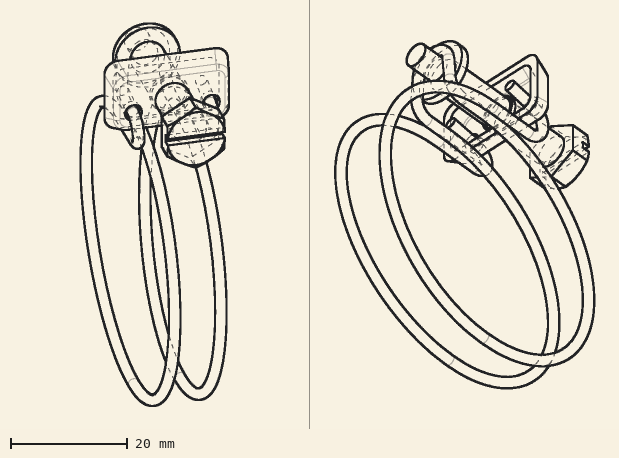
import cadquery as cq
import math


overall_height = 67.35

wire_dia = 2.0
wire_radius = wire_dia / 2
ring_outer_dia = 53.95
ring_radius = ring_outer_dia / 2 - wire_radius
loop_y = 4.1
strand_gap = 0.2
hook_y = loop_y + wire_dia + strand_gap
loop_tilt = math.radians(4.3)
elbow_radius = 2.95
hook_bend_radius = 3.0
hook_bend_x = 8.8
hook_tilt = math.radians(5.2)
hook_turn = math.radians(170)
hook_end_x = 3.2

bridge_x = 5.85
bridge_depth = 4.05
bridge_width = 22.0
bridge_height = 13.05
bridge_corner = 2.35
bridge_width_taper = math.radians(12)
bridge_height_taper = math.radians(20.5)
bridge_edge_fillet = 1.0
cavity_depth = 2.55
cavity_width = 18.85
cavity_height = 9.7
cavity_corner = 1.95
cavity_width_taper = math.radians(15)
cavity_height_taper = math.radians(19)
cavity_fillet = 0.4
boss_dia = 6.9
boss_height = 0.9
wire_hole_dia = 2.95
wire_hole_y = 6.95
wire_hole_drop = 1.75

axis_z = overall_height - ring_outer_dia / 2 - bridge_height / 2
shank_dia = 6.05
tip_dia = 4.45
washer_dia = 11.5
washer_thickness = 1.55
washer_x = -7.4
tip_end_x = -12.8
head_x = 21.0
head_height = 4.05
head_corner_radius = 5.85
head_chamfer_radius = 5.1
head_chamfer_angle = math.radians(30)
slot_width = 1.2
slot_depth = 1.55


def x_cylinder(diameter, start_x, end_x, y=0, z=axis_z):
    """Cylinder along X from start_x to end_x."""
    return cq.Workplane("YZ", origin=(start_x, y, z)).circle(diameter / 2).extrude(end_x - start_x)



def wire_path():
    loop_x = washer_x - wire_radius
    loop_top_z = axis_z + tip_dia / 2 + wire_radius
    loop_radius = (loop_y - (loop_top_z - ring_radius) * math.tan(loop_tilt)) / (
        1 / math.cos(loop_tilt) - math.tan(loop_tilt)
    )
    loop_end_y = loop_radius * math.cos(loop_tilt)
    loop_end_z = loop_top_z - loop_radius * (1 - math.sin(loop_tilt))

    def elbow_point(turn):
        along = elbow_radius * (1 - math.cos(turn))
        return (
            loop_x + elbow_radius * (1 - math.sin(turn)),
            loop_y - along * math.sin(loop_tilt),
            ring_radius + along * math.cos(loop_tilt),
        )

    def hook_point(turn, straight=0.0):
        along = hook_bend_radius * (1 - math.cos(turn)) + straight * math.sin(turn)
        return (
            hook_bend_x + hook_bend_radius * math.sin(turn) + straight * math.cos(turn),
            hook_y + along * math.sin(hook_tilt),
            ring_radius + along * math.cos(hook_tilt),
        )

    tail_length = (hook_end_x - hook_point(hook_turn)[0]) / math.cos(hook_turn)

    side = [
        [hook_point(hook_turn, tail_length), hook_point(hook_turn)],
        [hook_point(hook_turn), hook_point(hook_turn / 2), hook_point(0)],
        [hook_point(0), (0, hook_y, ring_radius)],
        [(0, hook_y, ring_radius), (-ring_radius, (hook_y + loop_y) / 2, 0), (0, loop_y, -ring_radius)],
        [(0, loop_y, -ring_radius), (ring_radius, loop_y, 0), (0, loop_y, ring_radius)],
        [(0, loop_y, ring_radius), elbow_point(0)],
        [elbow_point(0), elbow_point(math.pi / 4), elbow_point(math.pi / 2)],
        [elbow_point(math.pi / 2), (loop_x, loop_end_y, loop_end_z)],
    ]
    loop = [
        (loop_x, loop_end_y, loop_end_z),
        (loop_x, 0, loop_top_z),
        (loop_x, -loop_end_y, loop_end_z),
    ]
    other_side = [[(x, -y, z) for x, y, z in reversed(chain)] for chain in reversed(side)]

    edges = []
    for chain in side + [loop] + other_side:
        points = [cq.Vector(*point) for point in chain]
        if len(points) == 2:
            edges.append(cq.Edge.makeLine(*points))
        else:
            edges.append(cq.Edge.makeThreePointArc(*points))
    return cq.Wire.assembleEdges(edges)


def make_wire():
    path = wire_path()
    first_edge = path.Edges()[0]
    start = cq.Plane(origin=first_edge.startPoint(), normal=first_edge.tangentAt(0))
    return cq.Workplane(start).circle(wire_radius).sweep(cq.Workplane(path))



def make_head():
    head_end_x = head_x + head_height
    hexagon = (
        cq.Workplane("YZ", origin=(head_x, 0, axis_z))
        .polygon(6, 2 * head_corner_radius)
        .extrude(head_height)
        .rotate((0, 0, axis_z), (1, 0, axis_z), 90)
    )
    chamfer_length = (head_corner_radius - head_chamfer_radius) * math.tan(head_chamfer_angle)
    chamfer_envelope = (
        cq.Workplane("XY", origin=(0, 0, axis_z))
        .moveTo(head_x, 0)
        .lineTo(head_x, head_corner_radius)
        .lineTo(head_end_x - chamfer_length, head_corner_radius)
        .lineTo(head_end_x, head_chamfer_radius)
        .lineTo(head_end_x, 0)
        .close()
        .revolve(360, (0, 0, 0), (1, 0, 0))
    )
    slot = cq.Workplane("XY", origin=(head_end_x - slot_depth / 2, 0, axis_z)).box(
        slot_depth, 2 * head_corner_radius, slot_width
    )
    return hexagon.intersect(chamfer_envelope).cut(slot)


def make_screw():
    washer_end_x = washer_x + washer_thickness
    tip = x_cylinder(tip_dia, tip_end_x, washer_x)
    washer = x_cylinder(washer_dia, washer_x, washer_end_x)
    shank = x_cylinder(shank_dia, washer_end_x, head_x)
    return tip.union(washer).union(shank).union(make_head())



def tapered_block(width, height, depth, corner, width_taper, height_taper):
    """Rounded rectangular block that narrows from the open face of the bridge towards +X."""
    end_width = width - 2 * depth * math.tan(width_taper)
    end_height = height - 2 * depth * math.tan(height_taper)
    base = cq.Sketch().rect(width, height).vertices().fillet(corner)
    end = cq.Sketch().rect(end_width, end_height).vertices().fillet(corner)
    return (
        cq.Workplane("YZ", origin=(bridge_x, 0, axis_z))
        .placeSketch(base, end.moved(cq.Location(cq.Vector(0, 0, depth))))
        .loft(ruled=True)
    )


def make_bridge():
    floor_x = bridge_x + cavity_depth
    end_x = bridge_x + bridge_depth
    body = tapered_block(
        bridge_width, bridge_height, bridge_depth, bridge_corner, bridge_width_taper, bridge_height_taper
    )
    cavity = tapered_block(
        cavity_width, cavity_height, cavity_depth, cavity_corner, cavity_width_taper, cavity_height_taper
    )
    body = body.faces(">X").edges().fillet(bridge_edge_fillet)
    cavity = cavity.faces(">X").edges().fillet(cavity_fillet)
    boss = x_cylinder(boss_dia, floor_x - boss_height, floor_x)
    bridge = body.cut(cavity).union(boss).cut(x_cylinder(shank_dia, bridge_x, end_x))
    for side in (1, -1):
        bridge = bridge.cut(
            x_cylinder(wire_hole_dia, bridge_x, end_x, side * wire_hole_y, axis_z - wire_hole_drop)
        )
    return bridge


wire = make_wire()
screw = make_screw().solids()
bridge = make_bridge().solids()

result = cq.Compound.makeCompound([wire.val(), screw.val(), bridge.val()])